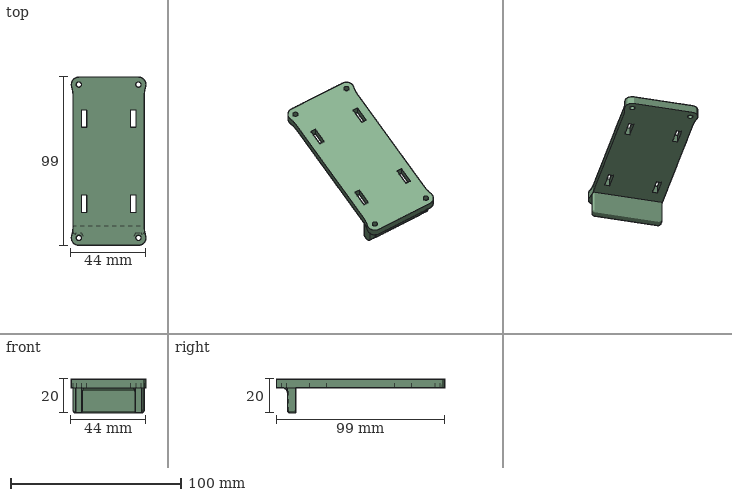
import cadquery as cq
import math

length = 99.0
width = 44.0
plate_thickness = 5.0
body_width = 42.0
corner_radius = 4.5
hole_diameter = 3.0
hole_x = width / 2 - corner_radius
hole_y = length / 2 - corner_radius
neck_run = 7.0

slot_width = 3.0
slot_length = 10.0
slot_spacing_x = 28.9
slot_spacing_y = 50.0

total_height = 20.0
lip_thickness = 5.0
lip_height = total_height - plate_thickness
lip_back_y = -hole_y + neck_run
lip_front_y = lip_back_y - lip_thickness
lip_round = 2.0
lip_back_round = 0.9
web_radius = 3.0

groove_floor_width = 3.4
groove_depth = 0.8
groove_flare = 0.4


def plate_outline():
    """Rectangle with round corner ears that sweep into narrower straight sides."""
    side_x = body_width / 2
    ear_step = side_x - hole_x
    blend_radius = (ear_step**2 + neck_run**2 - corner_radius**2) / (2 * (corner_radius - ear_step))
    blend_x = side_x + blend_radius
    blend_y = hole_y - neck_run
    tangent_angle = math.atan2(-neck_run, blend_x - hole_x)

    def on_ear(angle):
        return (hole_x + corner_radius * math.cos(angle), hole_y + corner_radius * math.sin(angle))

    def on_blend(angle):
        return (blend_x + blend_radius * math.cos(angle), blend_y + blend_radius * math.sin(angle))

    ear_middle = on_ear((math.pi / 2 + tangent_angle) / 2)
    blend_middle = on_blend(math.pi + tangent_angle / 2)
    quarter = (
        cq.Workplane("XY")
        .moveTo(0, 0)
        .lineTo(0, length / 2)
        .lineTo(hole_x, length / 2)
        .threePointArc(ear_middle, on_ear(tangent_angle))
        .threePointArc(blend_middle, (side_x, blend_y))
        .lineTo(side_x, 0)
        .close()
        .extrude(plate_thickness)
    )
    half = quarter.union(quarter.mirror("YZ"))
    return half.union(half.mirror("XZ")).clean()


def make_plate():
    plate = plate_outline()
    holes = (
        cq.Workplane("XY")
        .rect(2 * hole_x, 2 * hole_y, forConstruction=True)
        .vertices()
        .circle(hole_diameter / 2)
        .extrude(plate_thickness)
    )
    slots = (
        cq.Workplane("XY")
        .rect(slot_spacing_x, slot_spacing_y, forConstruction=True)
        .vertices()
        .rect(slot_width, slot_length)
        .extrude(plate_thickness)
    )
    return plate.cut(holes).cut(slots)


def make_lip():
    """Rounded lip with a concave web in front, hanging below the plate."""
    lip = (
        cq.Workplane("XY")
        .box(body_width, lip_thickness, lip_height, centered=(True, False, False))
        .translate((0, lip_front_y, -lip_height))
    )
    lip = lip.edges("|Y and <Z").fillet(lip_round)
    lip = lip.faces("<Y").edges("not >Z").fillet(lip_round)
    lip = lip.faces(">Y").edges("not >Z").fillet(lip_back_round)

    web_width = 2 * hole_x
    web = (
        cq.Workplane("YZ")
        .moveTo(lip_front_y, 0)
        .lineTo(lip_front_y - web_radius, 0)
        .radiusArc((lip_front_y, -web_radius), web_radius)
        .close()
        .extrude(web_width / 2, both=True)
    )
    return lip.union(web)


def make_groove(center_x):
    """Flat-bottomed groove with flared sides, running the full lip height."""
    half_floor = groove_floor_width / 2
    reach = groove_depth + web_radius
    half_mouth = half_floor + groove_flare * reach / groove_depth
    floor_y = lip_front_y + groove_depth
    return (
        cq.Workplane("XY")
        .polyline([
            (center_x - half_floor, floor_y),
            (center_x + half_floor, floor_y),
            (center_x + half_mouth, floor_y - reach),
            (center_x - half_mouth, floor_y - reach),
        ])
        .close()
        .extrude(-lip_height)
    )


lip = make_lip()
for side in (-1, 1):
    lip = lip.cut(make_groove(side * hole_x))

result = make_plate().union(lip)